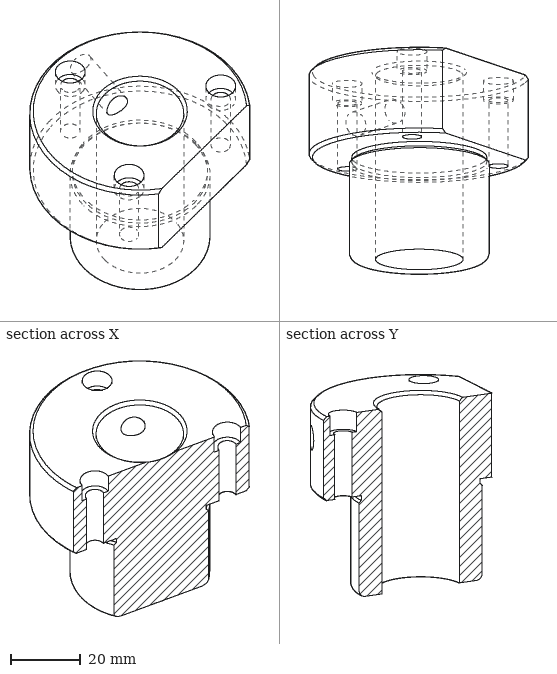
import cadquery as cq
import math

flange_radius = 31.5
flange_height = 25.0
flange_chamfer = 1.0
flat_distance = 23.0

spigot_radius = 20.0
spigot_height = 30.0
spigot_fillet = 2.0

groove_radius = 19.3
groove_straight_height = 1.3
groove_slope_height = 0.7

bore_radius = 12.5
bore_chamfer = 1.0

mount_circle_radius = 25.0
mount_angles = (60.0, 180.0, 300.0)
mount_hole_diameter = 5.5
counterbore_diameter = 8.5
counterbore_depth = 5.7

radial_hole_diameter = 7.0
radial_hole_angle = 160.0
radial_hole_below_top = 9.0

total_height = spigot_height + flange_height


def make_turned_body():
    """Revolve the half section of flange, groove, spigot and bore about Z."""
    fillet_center_radius = spigot_radius - spigot_fillet
    fillet_mid_offset = spigot_fillet * math.sqrt(0.5)
    groove_bottom = spigot_height - groove_straight_height
    profile = (
        cq.Workplane("XZ")
        .moveTo(bore_radius, 0)
        .lineTo(fillet_center_radius, 0)
        .threePointArc(
            (fillet_center_radius + fillet_mid_offset, spigot_fillet - fillet_mid_offset),
            (spigot_radius, spigot_fillet),
        )
        .lineTo(spigot_radius, groove_bottom - groove_slope_height)
        .lineTo(groove_radius, groove_bottom)
        .lineTo(groove_radius, spigot_height)
        .lineTo(flange_radius - flange_chamfer, spigot_height)
        .lineTo(flange_radius, spigot_height + flange_chamfer)
        .lineTo(flange_radius, total_height - flange_chamfer)
        .lineTo(flange_radius - flange_chamfer, total_height)
        .lineTo(bore_radius + bore_chamfer, total_height)
        .lineTo(bore_radius, total_height - bore_chamfer)
        .close()
    )
    return profile.revolve(360, (0, 0, 0), (0, 1, 0))


def cut_flat(body):
    """Remove the flange segment beyond the flat on the +X side."""
    segment_width = flange_radius - flat_distance
    segment = cq.Workplane("XY").box(
        segment_width, 2 * flange_radius, total_height, centered=(False, True, False)
    )
    return body.cut(segment.translate((flat_distance, 0, 0)))


def cut_mount_holes(body):
    """Drill the mounting holes through the flange, counterbored from the top."""
    centers = [
        (
            mount_circle_radius * math.cos(math.radians(angle)),
            mount_circle_radius * math.sin(math.radians(angle)),
        )
        for angle in mount_angles
    ]
    top_plane = cq.Workplane("XY").workplane(offset=total_height)
    through_holes = top_plane.pushPoints(centers).circle(mount_hole_diameter / 2).extrude(-flange_height)
    counterbores = top_plane.pushPoints(centers).circle(counterbore_diameter / 2).extrude(-counterbore_depth)
    return body.cut(through_holes).cut(counterbores)


def cut_radial_hole(body):
    """Drill the cross hole along a radius, from the bore axis out past the rim."""
    hole = (
        cq.Workplane("YZ")
        .center(0, total_height - radial_hole_below_top)
        .circle(radial_hole_diameter / 2)
        .extrude(flange_radius)
        .rotate((0, 0, 0), (0, 0, 1), radial_hole_angle)
    )
    return body.cut(hole)


result = cut_radial_hole(cut_mount_holes(cut_flat(make_turned_body())))